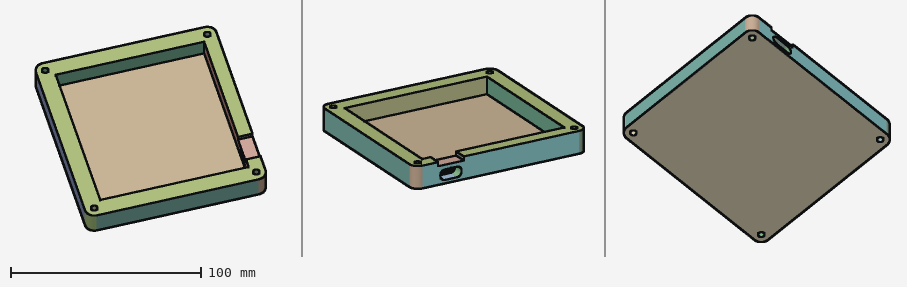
import cadquery as cq

length = 105.0
width = 98.5
height = 13.0
corner_radius = 5.0

floor_thickness = 3.0
side_wall = 9.3
front_wall = 9.6
back_wall = 8.0

screw_hole_diameter = 3.4

connector_x = 30.2
notch_width = 15.5
notch_depth = 2.3

opening_width = 9.5
opening_height = 3.6
plug_width = 13.0
plug_height = 6.0
opening_depth = 1.0
opening_sill = 0.2

pocket_length = length - 2 * side_wall
pocket_width = width - front_wall - back_wall
pocket_y = (front_wall - back_wall) / 2
back_y = width / 2
inner_back_y = back_y - back_wall
connector_z = floor_thickness + opening_sill + opening_height / 2


def make_block():
    block = cq.Workplane("XY").box(length, width, height, centered=(True, True, False))
    return block.edges("|Z").fillet(corner_radius)


def make_pocket():
    return (
        cq.Workplane("XY", origin=(0, pocket_y, floor_thickness))
        .rect(pocket_length, pocket_width)
        .extrude(height - floor_thickness)
    )


def make_screw_holes():
    return (
        cq.Workplane("XY")
        .rect(length - 2 * corner_radius, width - 2 * corner_radius, forConstruction=True)
        .vertices()
        .circle(screw_hole_diameter / 2)
        .extrude(height)
    )


def make_notch():
    return (
        cq.Workplane("XY", origin=(connector_x, back_y - back_wall / 2, height - notch_depth))
        .rect(notch_width, back_wall)
        .extrude(notch_depth)
    )


def make_slot(slot_width, slot_height, start_y, end_y):
    """Round-ended slot running along Y from start_y back to end_y."""
    return (
        cq.Workplane("XZ", origin=(connector_x, start_y, connector_z))
        .slot2D(slot_width, slot_height)
        .extrude(start_y - end_y)
    )


plug_recess_end_y = inner_back_y + opening_depth

result = (
    make_block()
    .cut(make_pocket())
    .cut(make_screw_holes())
    .cut(make_notch())
    .cut(make_slot(opening_width, opening_height, back_y, inner_back_y))
    .cut(make_slot(plug_width, plug_height, back_y, plug_recess_end_y))
)